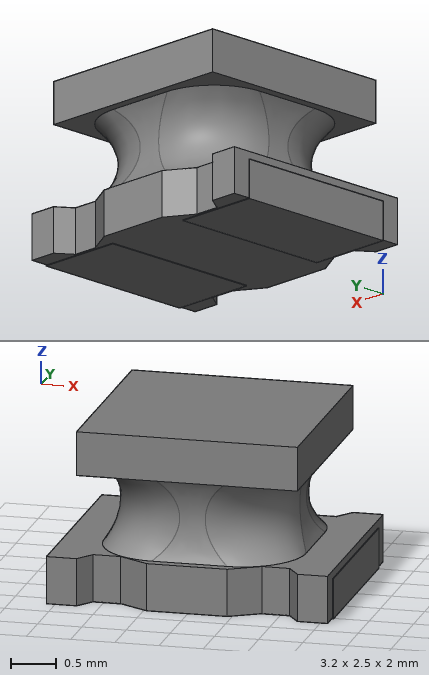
import math

import cadquery as cq

plate_side = 2.5
plate_thickness = 0.5
overall_height = 2.0
overall_length = 3.2

pad_thickness = 0.01
pad_width = 2.05
pad_top = 0.46
pad_length = 1.05

base_length = overall_length - 2 * pad_thickness
base_top = 0.55

notch_outer = plate_side / 2
notch_floor_outer = 1.11
notch_floor_inner = 0.8
notch_inner = 0.455
notch_depth = 0.2

neck_waist = 2.0
neck_side_radius = 0.87
neck_corner_radius = 0.855
neck_section_count = 7

plate_bottom = overall_height - plate_thickness
neck_height = plate_bottom - base_top


def make_base():
    half_length = base_length / 2
    edge = plate_side / 2
    floor = edge - notch_depth
    back_right = [
        (notch_inner, edge),
        (notch_floor_inner, floor),
        (notch_floor_outer, floor),
        (notch_outer, edge),
        (half_length, edge),
    ]
    back = [(-x, y) for x, y in reversed(back_right)] + back_right
    front = [(-x, -y) for x, y in back]
    return (
        cq.Workplane("XY", origin=(0, 0, pad_thickness))
        .polyline(back + front)
        .close()
        .extrude(base_top - pad_thickness)
    )


def neck_section(height_from_waist):
    """Rounded-square outline across the neck at a height above or below its waist."""
    slope_cosine = math.sqrt(1 - (height_from_waist / neck_side_radius) ** 2)
    half_width = neck_waist / 2 + neck_side_radius * (1 - slope_cosine)
    half_flat = half_width - neck_corner_radius * slope_cosine
    return (
        cq.Sketch()
        .rect(2 * half_width, 2 * half_width)
        .vertices()
        .fillet(half_width - half_flat)
        .moved(cq.Location(cq.Vector(0, 0, base_top + neck_height / 2 + height_from_waist)))
    )


def make_neck():
    """Square neck, waisted on all four sides, with its four upright edges rounded."""
    step = neck_height / (neck_section_count - 1)
    sections = [neck_section(i * step - neck_height / 2) for i in range(neck_section_count)]
    return cq.Workplane("XY").placeSketch(*sections).loft()


def make_top_plate():
    return (
        cq.Workplane("XY", origin=(0, 0, plate_bottom))
        .rect(plate_side, plate_side)
        .extrude(plate_thickness)
    )


def make_pad(side):
    """L-shaped pad on the end at side * X: an end face strip and a strip under the base."""
    end = side * overall_length / 2
    base_end = side * base_length / 2
    inner = end - side * pad_length
    return (
        cq.Workplane("XZ")
        .polyline([
            (end, 0),
            (end, pad_top),
            (base_end, pad_top),
            (base_end, pad_thickness),
            (inner, pad_thickness),
            (inner, 0),
        ])
        .close()
        .extrude(pad_width / 2, both=True)
    )


result = make_base().union(make_neck()).union(make_top_plate())
for side in (-1, 1):
    result = result.union(make_pad(side))